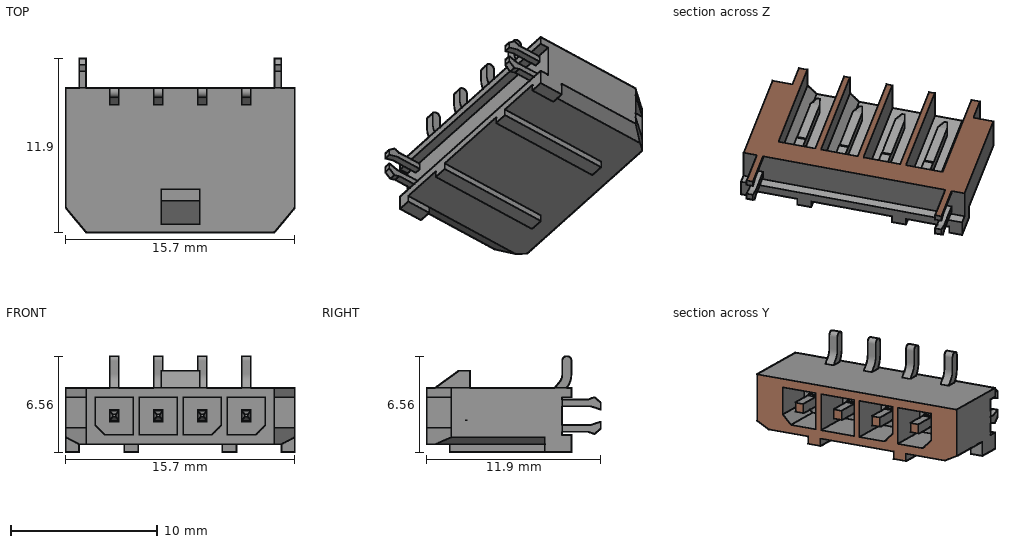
import cadquery as cq
import math


width = 15.65
depth = 9.89
height = 3.85
half_width = width / 2
corner_x = 1.41
corner_y = 1.69
wall = 0.64
notch_floor = 1.13

bevel_x = 0.92
bevel_z = 0.49
foot_height = 0.53
foot_front = 8.08
rail_width = 0.99
rail_center_x = 3.35
rail_front = 1.56

contact_count = 4
pitch = 3.0
contact_xs = [(i - (contact_count - 1) / 2) * pitch for i in range(contact_count)]
contact_z = 1.95
contact_width = 0.64

cavity_keys = [-1, 0, 1, 1]
cavity_size = 2.57
cavity_depth = 7.51
key_chamfer = 0.64

pin_tip_y = 1.88
pin_tip_width = 0.2
pin_tip_height = 0.15
pin_point_length = 0.92
pin_neck_height = 0.69
pin_root_height = 0.81
shoulder_y = 6.26
shoulder_length = 0.15
pin_end_y = 7.82

leg_thickness = contact_width
leg_top = 2.18
leg_bend_start = 0.92
leg_bend_radius = 0.83
leg_angle = math.radians(40)
leg_slope_length = 0.94

latch_width = 2.63
latch_back = 2.97
latch_crest = 2.19
latch_toe = 0.56
latch_height = 1.17

prong_width = 0.47
prong_center_x = 6.67
prong_center_z = 1.95
prong_inner = 0.63
prong_outer = 1.11
prong_peak = 1.27
prong_tip_outer = 0.89
prong_tip_inner = 0.4
prong_tip_y = 11.9
prong_peak_y = 11.45
prong_outer_end_y = 11.03
prong_inner_end_y = 11.2


def x_prism(profile, center_x, size_x):
    """Extrude a closed YZ profile symmetrically about center_x."""
    return profile.extrude(size_x / 2, both=True).translate((center_x, 0, 0))


def box(x_range, y_range, z_range):
    """Box from its lower and upper limits along each axis."""
    ranges = (x_range, y_range, z_range)
    sizes = [high - low for low, high in ranges]
    corner = tuple(low for low, _ in ranges)
    return cq.Workplane("XY").box(*sizes, centered=False).translate(corner)


def make_shell():
    """Housing block with chamfered front corners, beveled lower sides and a recessed back."""
    shell = (
        cq.Workplane("XY")
        .polyline([
            (-half_width + corner_x, 0),
            (half_width - corner_x, 0),
            (half_width, corner_y),
            (half_width, depth),
            (-half_width, depth),
            (-half_width, corner_y),
        ])
        .close()
        .extrude(height)
    )
    for side in (-1, 1):
        edge_x = side * half_width
        bevel = (
            cq.Workplane("XZ")
            .polyline([(edge_x, 0), (edge_x - side * bevel_x, 0), (edge_x, bevel_z)])
            .close()
            .extrude(-foot_front)
        )
        inner_x = side * (half_width - corner_x)
        corner_notch = box(sorted((inner_x, edge_x)), (0, corner_y), (notch_floor, height - wall))
        shell = shell.cut(bevel).cut(corner_notch)
    back_recess = box((-half_width, half_width), (depth - wall, depth), (wall, height - wall))
    return shell.cut(back_recess)


def make_feet():
    """Two corner feet at the back and two long rails, all below the housing."""
    feet = []
    for side in (-1, 1):
        foot_edges = sorted((side * half_width, side * (half_width - bevel_x)))
        feet.append(box(foot_edges, (foot_front, depth), (-foot_height, 0)))
        rail_x = side * rail_center_x
        rail_edges = (rail_x - rail_width / 2, rail_x + rail_width / 2)
        feet.append(box(rail_edges, (rail_front, depth), (-foot_height, 0)))
    return feet


def make_cavity(center_x, key):
    """Square cavity, with one lower corner cut off when keyed."""
    center_z = wall + cavity_size / 2
    cavity = (
        cq.Workplane("XZ")
        .center(center_x, center_z)
        .rect(cavity_size, cavity_size)
        .extrude(-cavity_depth)
    )
    if key:
        lower_edge = "|Y and <Z and " + (">X" if key > 0 else "<X")
        cavity = cavity.edges(lower_edge).chamfer(key_chamfer)
    return cavity


def make_pin(center_x):
    """Pin with a pyramid point and a taller root behind a sloped shoulder."""
    point = (
        cq.Workplane("XZ", origin=(center_x, pin_tip_y, contact_z))
        .rect(pin_tip_width, pin_tip_height)
        .workplane(offset=-pin_point_length)
        .rect(contact_width, pin_neck_height)
        .loft(ruled=True)
    )
    neck_half = pin_neck_height / 2
    root_half = pin_root_height / 2
    neck_y = pin_tip_y + pin_point_length
    upper_outline = [
        (neck_y, neck_half),
        (shoulder_y, neck_half),
        (shoulder_y + shoulder_length, root_half),
        (pin_end_y, root_half),
    ]
    outline = upper_outline + [(y, -z) for y, z in reversed(upper_outline)]
    profile = cq.Workplane("YZ").polyline([(y, contact_z + z) for y, z in outline]).close()
    return point.union(x_prism(profile, center_x, contact_width))


def make_leg(center_x):
    """Solder leg: rounded top, vertical stretch, then a bend sloping forward into the housing."""
    back_y = depth
    front_y = depth - leg_thickness
    tip_radius = leg_thickness / 2
    bend_center_y = front_y - leg_bend_radius
    bend_z = height + leg_bend_start

    def on_bend(radius, angle):
        return (bend_center_y + radius * math.cos(angle), bend_z - radius * math.sin(angle))

    def down_slope(point):
        return (
            point[0] - leg_slope_length * math.sin(leg_angle),
            point[1] - leg_slope_length * math.cos(leg_angle),
        )

    outer_radius = leg_bend_radius + leg_thickness
    inner_end = on_bend(leg_bend_radius, leg_angle)
    outer_end = on_bend(outer_radius, leg_angle)
    shoulder_z = height + leg_top - tip_radius
    profile = (
        cq.Workplane("YZ")
        .moveTo(front_y, bend_z)
        .lineTo(front_y, shoulder_z)
        .threePointArc((front_y + tip_radius, height + leg_top), (back_y, shoulder_z))
        .lineTo(back_y, bend_z)
        .threePointArc(on_bend(outer_radius, leg_angle / 2), outer_end)
        .lineTo(*down_slope(outer_end))
        .lineTo(*down_slope(inner_end))
        .lineTo(*inner_end)
        .threePointArc(on_bend(leg_bend_radius, leg_angle / 2), (front_y, bend_z))
        .close()
    )
    return x_prism(profile, center_x, contact_width)


def make_latch():
    """Latch ramp on top of the housing, rising from the mating face to a flat crest."""
    profile = (
        cq.Workplane("YZ")
        .polyline([
            (latch_toe, height),
            (latch_crest, height + latch_height),
            (latch_back, height + latch_height),
            (latch_back, height),
        ])
        .close()
    )
    return x_prism(profile, 0, latch_width)


def make_prong(center_x, side):
    """Lock prong with a barbed tip; side is +1 for the upper and -1 for the lower prong."""
    outline = [
        (depth - wall, prong_inner),
        (prong_inner_end_y, prong_inner),
        (prong_tip_y, prong_tip_inner),
        (prong_tip_y, prong_tip_outer),
        (prong_peak_y, prong_peak),
        (prong_outer_end_y, prong_outer),
        (depth - wall, prong_outer),
    ]
    profile = cq.Workplane("YZ").polyline([(y, prong_center_z + side * z) for y, z in outline]).close()
    return x_prism(profile, center_x, prong_width)


housing = make_shell().union(make_latch())
for foot in make_feet():
    housing = housing.union(foot)
for contact_x, key_side in zip(contact_xs, cavity_keys):
    housing = housing.cut(make_cavity(contact_x, key_side))

result = housing
for contact_x in contact_xs:
    result = result.union(make_pin(contact_x)).union(make_leg(contact_x))
for prong_x in (-prong_center_x, prong_center_x):
    for prong_side in (-1, 1):
        result = result.union(make_prong(prong_x, prong_side))